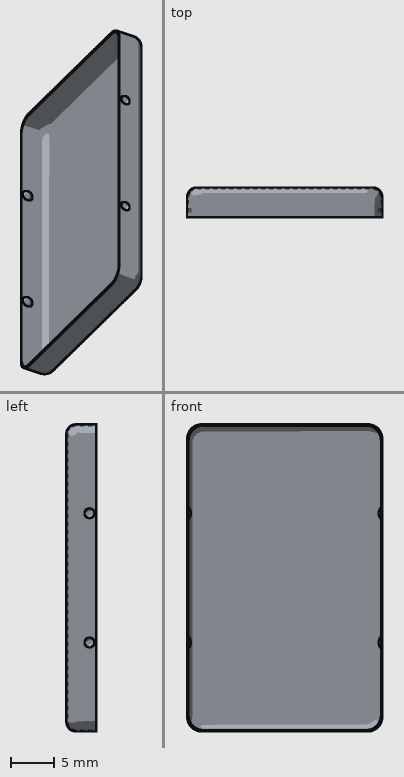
import cadquery as cq

width = 22.7
depth = 3.5
height = 35.7

wall = 0.2
corner_radius = 1.8
back_edge_radius = 1.2

dimple_pitch = 15.0
dimple_from_rim = 0.8
dimple_diameter = 1.14
dimple_depth = 0.25


def rounded_block(inset):
    """Block inset from the outer skin on every side but the open one, with its back edge rounded."""
    block = (
        cq.Workplane("XZ")
        .rect(width - 2 * inset, height - 2 * inset)
        .extrude(-(depth - inset))
        .edges("|Y")
        .fillet(corner_radius - inset)
    )
    return block.faces(">Y").edges().fillet(back_edge_radius - inset)


def spherical_cap(side, z, radius, center_offset, base_inset):
    """Cap of a ball centred center_offset outside the skin, cut flat base_inset inside the skin.

    The cap is a solid of revolution whose axis runs along X and whose dome points into the tray.
    """
    base_distance = center_offset + base_inset
    base_radius = (radius**2 - base_distance**2) ** 0.5
    mid_distance = ((radius + base_distance) * radius / 2) ** 0.5
    mid_radius = (radius**2 - mid_distance**2) ** 0.5
    center_x = width / 2 + center_offset

    def axial(distance):
        return side * (center_x - distance)

    return (
        cq.Workplane("XY", origin=(0, dimple_from_rim, z))
        .moveTo(axial(base_distance), 0)
        .lineTo(axial(base_distance), base_radius)
        .threePointArc((axial(mid_distance), mid_radius), (axial(radius), 0))
        .close()
        .revolve(360, (0, 0, 0), (1, 0, 0))
    )


def add_dimples(tray):
    """Press the dimples: each inner bump is concentric with its outer hollow, one wall apart."""
    rim_radius = dimple_diameter / 2
    hollow_radius = (rim_radius**2 + dimple_depth**2) / (2 * dimple_depth)
    center_offset = hollow_radius - dimple_depth
    for side in (-1, 1):
        for end in (-1, 1):
            z = end * dimple_pitch / 2
            bump = spherical_cap(side, z, hollow_radius + wall, center_offset, wall / 2)
            hollow = spherical_cap(side, z, hollow_radius, center_offset, 0)
            tray = tray.union(bump).cut(hollow)
    return tray


result = add_dimples(rounded_block(0).cut(rounded_block(wall)))